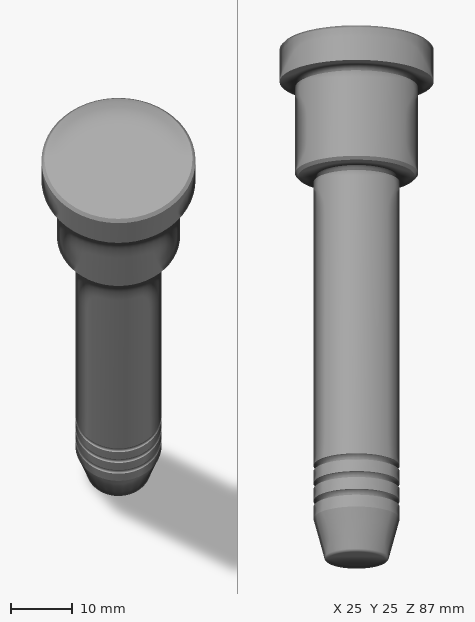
import cadquery as cq
import math

TOTAL_HEIGHT = 87.0
HEAD_DIAMETER = 25.0
COLLAR_DIAMETER = 20.0
SHANK_DIAMETER = 14.0

HEAD_HEIGHT = 6.0
COLLAR_LENGTH = 16.0

HEAD_CHAMFER = 0.5
COLLAR_CHAMFER = 0.5
TIP_FILLET = 0.5

TIP_LENGTH = 7.0
TIP_HALF_ANGLE = 15.0

NECK_WIDTH = 1.0
NECK_DEPTH = 0.5

GROOVE_RADIUS = 0.5
RING_COUNT = 3
RING_PITCH = 3.0
LOWEST_RING_Z = 9.5

HEAD_RADIUS = HEAD_DIAMETER / 2
COLLAR_RADIUS = COLLAR_DIAMETER / 2
SHANK_RADIUS = SHANK_DIAMETER / 2
NECK_RADIUS = SHANK_RADIUS - NECK_DEPTH
HEAD_BOTTOM_Z = TOTAL_HEIGHT - HEAD_HEIGHT
COLLAR_BOTTOM_Z = HEAD_BOTTOM_Z - COLLAR_LENGTH
NECK_BOTTOM_Z = COLLAR_BOTTOM_Z - NECK_WIDTH
TIP_END_RADIUS = SHANK_RADIUS - TIP_LENGTH * math.tan(math.radians(TIP_HALF_ANGLE))


def add_groove(profile, surface_radius, center_z):
    """Run the profile up to and through a half-round groove cut into a cylindrical surface."""
    return (
        profile
        .lineTo(surface_radius, center_z - GROOVE_RADIUS)
        .threePointArc(
            (surface_radius - GROOVE_RADIUS, center_z),
            (surface_radius, center_z + GROOVE_RADIUS),
        )
    )


def add_shank(profile):
    """Tapered tip, ring grooves and the plain shank up to the relief neck."""
    profile = profile.lineTo(TIP_END_RADIUS, 0).lineTo(SHANK_RADIUS, TIP_LENGTH)
    for index in range(RING_COUNT):
        profile = add_groove(profile, SHANK_RADIUS, LOWEST_RING_Z + index * RING_PITCH)
    return (
        profile
        .lineTo(SHANK_RADIUS, NECK_BOTTOM_Z)
        .lineTo(NECK_RADIUS, NECK_BOTTOM_Z)
        .lineTo(NECK_RADIUS, COLLAR_BOTTOM_Z)
    )


def add_collar(profile):
    """Collar with a chamfered lower edge and an undercut touching the head."""
    profile = (
        profile
        .lineTo(COLLAR_RADIUS - COLLAR_CHAMFER, COLLAR_BOTTOM_Z)
        .lineTo(COLLAR_RADIUS, COLLAR_BOTTOM_Z + COLLAR_CHAMFER)
    )
    return add_groove(profile, COLLAR_RADIUS, HEAD_BOTTOM_Z - GROOVE_RADIUS)


def add_head(profile):
    """Flat head with a chamfered top edge, ending on the axis."""
    return (
        profile
        .lineTo(HEAD_RADIUS, HEAD_BOTTOM_Z)
        .lineTo(HEAD_RADIUS, TOTAL_HEIGHT - HEAD_CHAMFER)
        .lineTo(HEAD_RADIUS - HEAD_CHAMFER, TOTAL_HEIGHT)
        .lineTo(0, TOTAL_HEIGHT)
    )


outline = cq.Workplane("XZ").moveTo(0, 0)
outline = add_shank(outline)
outline = add_collar(outline)
outline = add_head(outline)
pin = outline.close().revolve(360, (0, 0, 0), (0, 1, 0))

result = pin.faces("<Z").edges().fillet(TIP_FILLET)